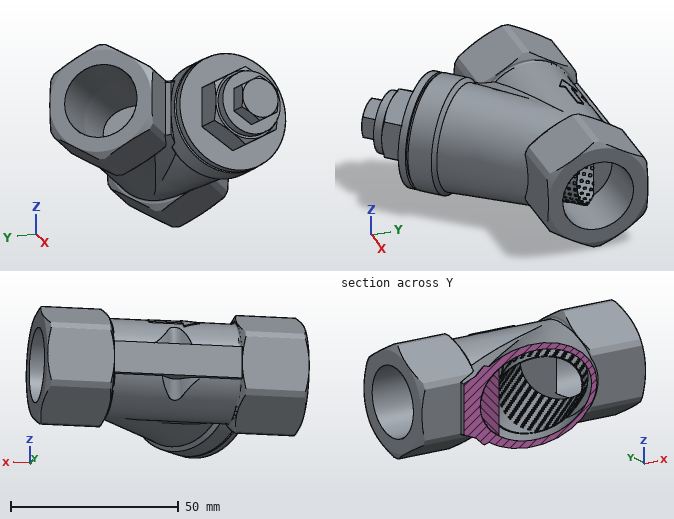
import cadquery as cq
import math


BODY_LENGTH = 80.0
PORT_FLATS = 32.0
PORT_LENGTH = 20.5
PORT_CORNER_BEVEL = 1.2
PORT_FACE_RADIUS = 15.87
PORT_CHAMFER_ANGLE = 30.0
PORT_EDGE_ROUND = 0.15
PORT_BORE_RADIUS = 22.6 / 2
OUTLET_BORE_DEPTH = 20.0
INLET_BORE_DEPTH = 18.0
TUBE_RADIUS = 15.0
TUBE_FILLET = 0.5
END_X = BODY_LENGTH / 2
PORT_INNER_X = END_X - PORT_LENGTH

CROSSING_X = 17.2
BRANCH_ANGLE = 45.0
CONE_ROOT_RADIUS = TUBE_RADIUS
CONE_END_RADIUS = 16.85
CONE_END_S = 36.5
COLLAR_RADIUS = 36.2 / 2
COLLAR_START_S = CONE_END_S + COLLAR_RADIUS - CONE_END_RADIUS
COLLAR_END_S = 45.4
BRANCH_BORE_RADIUS = 28.0 / 2
BRANCH_BORE_START_S = 6.0

FAIRING_HALF_ANGLE = 6.4
FAIRING_LENGTH = 55.5
FAIRING_TILT = 7.0
FAIRING_FACE_X = -26.1
FAIRING_LOWEST_Y = -17.8

PASSAGE_TILT = 5.0
PASSAGE_END_S = 8.13

PLATE_THICKNESS = 9.6
NOTCH_MOUTH_HALF_WIDTH = 4.6
NOTCH_TIP_RADIUS = 2.2
NOTCH_BLEND_RADIUS = 8.8
NOTCH_SIDE_ANGLE = 45.0
NOTCH_DRAFT = 5.0

ARROW_TIP_X = -8.3
ARROW_TAIL_X = 7.25
ARROW_HEAD_LENGTH = 5.3
ARROW_HEAD_WIDTH = 5.6
ARROW_SHAFT_WIDTH = 2.0
ARROW_Y = 6.8
ARROW_RAISE = 0.3

PLUG_START_S = 34.0
NECK_RADIUS = 34.2 / 2
FLANGE_RADIUS = 36.0 / 2
FLANGE_START_S = 46.3
FLANGE_END_S = 48.7
CAP_HEX_FLATS = 21.0
CAP_HEX_END_S = 57.5
WASHER_RADIUS = 19.5 / 2
WASHER_END_S = 60.5
DRAIN_HEX_FLATS = 12.0
DRAIN_HEX_END_S = 66.1
HEX_CHAMFER_ANGLE = 30.0

SCREEN_OUTER_RADIUS = 24.0 / 2
SCREEN_INNER_RADIUS = 23.2 / 2
SCREEN_START_S = -7.2
HOLE_DIAMETER = 1.0
HOLES_AROUND = 32
HOLE_RINGS = 16
HOLE_PITCH = 2.0
FIRST_RING_S = -6.5

BRANCH_COS = math.cos(math.radians(BRANCH_ANGLE))
BRANCH_SIN = math.sin(math.radians(BRANCH_ANGLE))
branch_plane = cq.Plane(
    origin=(CROSSING_X, 0, 0), xDir=(0, 0, 1), normal=(-BRANCH_COS, -BRANCH_SIN, 0)
)


def on_branch(s):
    """Workplane across the branch axis at distance s, with its local x along +Z."""
    return cq.Workplane(branch_plane).workplane(offset=s)


def branch_rod(radius, start, end):
    return on_branch(start).circle(radius).extrude(end - start)


def x_rod(radius, start, end):
    return cq.Workplane("YZ", origin=(start, 0, 0)).circle(radius).extrude(end - start)


def across_corners(flats):
    return flats / math.cos(math.radians(30))


def port():
    """Hex port at the +X end, chamfered on both ends."""
    hexagon = (
        cq.Workplane("YZ", origin=(PORT_INNER_X, 0, 0))
        .transformed(rotate=(0, 0, 90))
        .polygon(6, across_corners(PORT_FLATS))
        .extrude(PORT_LENGTH)
        .edges("|X")
        .chamfer(PORT_CORNER_BEVEL)
    )
    corner_radius = across_corners(PORT_FLATS) / 2
    chamfer_length = (corner_radius - PORT_FACE_RADIUS) * math.tan(math.radians(PORT_CHAMFER_ANGLE))
    envelope = (
        cq.Workplane("XY")
        .moveTo(PORT_INNER_X, 0)
        .lineTo(PORT_INNER_X, PORT_FACE_RADIUS)
        .lineTo(PORT_INNER_X + chamfer_length, corner_radius)
        .lineTo(END_X - chamfer_length, corner_radius)
        .lineTo(END_X, PORT_FACE_RADIUS)
        .lineTo(END_X, 0)
        .close()
        .revolve(360, (0, 0, 0), (1, 0, 0))
    )
    return hexagon.intersect(envelope).edges().fillet(PORT_EDGE_ROUND)


def run():
    """Both ports joined by the round tube."""
    inlet = port()
    outlet = inlet.mirror("YZ")
    tube = x_rod(TUBE_RADIUS, -PORT_INNER_X, PORT_INNER_X)
    body = inlet.union(outlet).union(tube)
    reach = TUBE_RADIUS + TUBE_FILLET
    for x in (-PORT_INNER_X, PORT_INNER_X):
        near_joint = cq.selectors.BoxSelector(
            (x - TUBE_FILLET, -reach, -reach), (x + TUBE_FILLET, reach, reach), boundingbox=True
        )
        joint_circles = body.edges(near_joint).edges("%CIRCLE")
        body = joint_circles.edges(cq.selectors.RadiusNthSelector(0)).fillet(TUBE_FILLET)
    return body


def branch():
    """Cone with a larger collar at its outer end."""
    profile = (
        cq.Workplane("XZ")
        .lineTo(CONE_ROOT_RADIUS, 0)
        .lineTo(CONE_END_RADIUS, CONE_END_S)
        .lineTo(COLLAR_RADIUS, COLLAR_START_S)
        .lineTo(COLLAR_RADIUS, COLLAR_END_S)
        .lineTo(0, COLLAR_END_S)
        .close()
    )
    upright = profile.revolve(360, (0, 0, 0), (0, 1, 0))
    return cq.Workplane(upright.val().moved(branch_plane.location))


def fairing():
    """Web whose top is an elliptical cylinder lying across the bisector of the acute corner."""
    bisector = BRANCH_ANGLE / 2
    direction = math.radians(bisector)
    bisector_plane = cq.Plane(
        origin=(CROSSING_X, 0, 0),
        xDir=(-math.cos(direction), -math.sin(direction), 0),
        normal=(-math.sin(direction), math.cos(direction), 0),
    )
    crossing = bisector_plane.origin
    bisector_end = crossing + bisector_plane.xDir
    top_barrel = (
        cq.Workplane(bisector_plane)
        .ellipse(FAIRING_LENGTH, TUBE_RADIUS)
        .extrude(TUBE_RADIUS, both=True)
        .rotate(crossing.toTuple(), bisector_end.toTuple(), FAIRING_TILT)
    )
    tube_side_slope = math.tan(math.radians(bisector - FAIRING_HALF_ANGLE))
    branch_side_slope = math.tan(math.radians(bisector + FAIRING_HALF_ANGLE))
    length = CROSSING_X - FAIRING_FACE_X
    wedge = (
        cq.Workplane("XY")
        .moveTo(CROSSING_X, 0)
        .lineTo(FAIRING_FACE_X, -length * tube_side_slope)
        .lineTo(FAIRING_FACE_X, FAIRING_LOWEST_Y)
        .lineTo(CROSSING_X + FAIRING_LOWEST_Y / branch_side_slope, FAIRING_LOWEST_Y)
        .close()
        .extrude(TUBE_RADIUS)
    )
    top_half = wedge.intersect(top_barrel)
    return top_half.union(top_half.mirror("XY"))


def rear_plate():
    """Flat plate between the ports, flush with their +Y flats."""
    return cq.Workplane("XY").box(
        2 * PORT_INNER_X, PORT_FLATS / 2, PLATE_THICKNESS, centered=(True, False, True)
    )


def plate_notch():
    """V notch in the tube wall, its floor level with the plate top; one side blends into the plate line."""
    floor_z = PLATE_THICKNESS / 2
    mouth_y = math.sqrt(TUBE_RADIUS**2 - floor_z**2)
    apex_y = mouth_y - NOTCH_MOUTH_HALF_WIDTH
    side_angle = math.radians(NOTCH_SIDE_ANGLE)
    diagonal = math.sin(side_angle)
    tip_x = NOTCH_TIP_RADIUS * diagonal
    tip_y = apex_y + NOTCH_TIP_RADIUS * diagonal
    tip_bottom_y = apex_y + NOTCH_TIP_RADIUS * (1 / diagonal - 1)
    blend_length = NOTCH_BLEND_RADIUS * math.tan(side_angle / 2)
    blend_center_x = NOTCH_MOUTH_HALF_WIDTH + blend_length
    blend_center_y = mouth_y - NOTCH_BLEND_RADIUS

    def blend_point(from_vertical):
        return (
            blend_center_x - NOTCH_BLEND_RADIUS * math.sin(from_vertical),
            blend_center_y + NOTCH_BLEND_RADIUS * math.cos(from_vertical),
        )

    outline = (
        cq.Workplane("XY", origin=(0, 0, floor_z))
        .moveTo(-NOTCH_MOUTH_HALF_WIDTH, mouth_y)
        .lineTo(-tip_x, tip_y)
        .threePointArc((0, tip_bottom_y), (tip_x, tip_y))
        .lineTo(*blend_point(side_angle))
        .threePointArc(blend_point(side_angle / 2), blend_point(0))
        .lineTo(blend_center_x, PORT_FLATS / 2)
        .lineTo(-NOTCH_MOUTH_HALF_WIDTH, PORT_FLATS / 2)
        .close()
    )
    return outline.extrude(TUBE_RADIUS - floor_z, taper=-NOTCH_DRAFT)


def flow_arrow():
    """Arrow standing proud of the tube by a constant height."""
    neck_x = ARROW_TIP_X + ARROW_HEAD_LENGTH
    half_head = ARROW_HEAD_WIDTH / 2
    half_shaft = ARROW_SHAFT_WIDTH / 2
    outline = (
        cq.Workplane("XY", origin=(0, ARROW_Y, 0))
        .moveTo(ARROW_TIP_X, 0)
        .lineTo(neck_x, half_head)
        .lineTo(neck_x, half_shaft)
        .lineTo(ARROW_TAIL_X, half_shaft)
        .lineTo(ARROW_TAIL_X, -half_shaft)
        .lineTo(neck_x, -half_shaft)
        .lineTo(neck_x, -half_head)
        .close()
    )
    skin = x_rod(TUBE_RADIUS + ARROW_RAISE, -PORT_INNER_X, PORT_INNER_X)
    return outline.extrude(TUBE_RADIUS + ARROW_RAISE).intersect(skin)


def outlet_passage():
    """Outlet bore and its bent continuation, ending on a plane across the branch axis."""
    tilt = math.radians(PASSAGE_TILT)
    bend_x = OUTLET_BORE_DEPTH - END_X
    path = (
        cq.Workplane("XY")
        .moveTo(-END_X, 0)
        .lineTo(bend_x, 0)
        .lineTo(bend_x + END_X * math.cos(tilt), -END_X * math.sin(tilt))
    )
    passage = (
        cq.Workplane("YZ", origin=(-END_X, 0, 0)).circle(PORT_BORE_RADIUS).sweep(path, transition="right")
    )
    outlet_side = branch_rod(BODY_LENGTH, PASSAGE_END_S, BODY_LENGTH)
    return passage.intersect(outlet_side)


notch = plate_notch()
housing = run().cut(notch).cut(notch.rotate((0, 0, 0), (0, 1, 0), 180))
housing = housing.union(rear_plate()).union(branch()).union(fairing()).union(flow_arrow())
housing = (
    housing.cut(outlet_passage())
    .cut(x_rod(PORT_BORE_RADIUS, END_X - INLET_BORE_DEPTH, END_X))
    .cut(branch_rod(BRANCH_BORE_RADIUS, BRANCH_BORE_START_S, COLLAR_END_S))
    .cut(branch_rod(SCREEN_OUTER_RADIUS, SCREEN_START_S, BRANCH_BORE_START_S))
)


def chamfered_hex(flats, start, end):
    """Hexagon on the branch axis, corners up and down, with its outer end chamfered."""
    flat_radius = flats / 2
    corner_radius = across_corners(flats) / 2
    chamfer_length = (corner_radius - flat_radius) * math.tan(math.radians(HEX_CHAMFER_ANGLE))
    prism = on_branch(start).polygon(6, 2 * corner_radius).extrude(end - start)
    envelope = (
        cq.Workplane("XZ")
        .moveTo(0, start)
        .lineTo(corner_radius, start)
        .lineTo(corner_radius, end - chamfer_length)
        .lineTo(flat_radius, end)
        .lineTo(0, end)
        .close()
        .revolve(360, (0, 0, 0), (0, 1, 0))
    )
    return prism.intersect(cq.Workplane(envelope.val().moved(branch_plane.location)))


def screen():
    """Thin tube with rings of radial holes."""
    tube = branch_rod(SCREEN_OUTER_RADIUS, SCREEN_START_S, PLUG_START_S)
    tube = tube.cut(branch_rod(SCREEN_INNER_RADIUS, SCREEN_START_S, PLUG_START_S))
    wall = SCREEN_OUTER_RADIUS - SCREEN_INNER_RADIUS
    drills = []
    for ring in range(HOLE_RINGS):
        center = branch_plane.toWorldCoords((0, 0, FIRST_RING_S + ring * HOLE_PITCH))
        for step in range(HOLES_AROUND):
            angle = step * 2 * math.pi / HOLES_AROUND
            outwards = branch_plane.xDir * math.cos(angle) + branch_plane.yDir * math.sin(angle)
            start = center + outwards * (SCREEN_INNER_RADIUS - wall)
            drills.append(cq.Solid.makeCylinder(HOLE_DIAMETER / 2, 3 * wall, start, outwards))
    return tube.cut(cq.Workplane(cq.Compound.makeCompound(drills)))


cap = (
    branch_rod(BRANCH_BORE_RADIUS, PLUG_START_S, COLLAR_END_S)
    .union(branch_rod(NECK_RADIUS, COLLAR_END_S, FLANGE_START_S))
    .union(branch_rod(FLANGE_RADIUS, FLANGE_START_S, FLANGE_END_S))
    .union(chamfered_hex(CAP_HEX_FLATS, FLANGE_END_S, CAP_HEX_END_S))
    .union(branch_rod(WASHER_RADIUS, CAP_HEX_END_S, WASHER_END_S))
    .union(chamfered_hex(DRAIN_HEX_FLATS, WASHER_END_S, DRAIN_HEX_END_S))
    .union(screen())
)

result = cq.Compound.makeCompound([housing.val(), cap.val()])